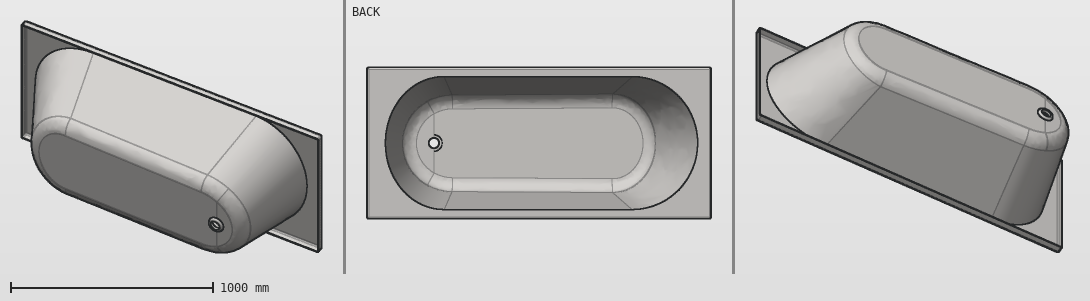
import cadquery as cq

RIM_LENGTH = 1700.0
RIM_WIDTH = 750.0
RIM_DEPTH = 40.0
RIM_ROUND = 10.0
TOTAL_DEPTH = 488.0
WALL = 5.0

MOUTH_LEFT_END = -789.0
MOUTH_LEFT_CENTRE = -460.0
MOUTH_RIGHT_CENTRE = 470.0
MOUTH_RIGHT_END = 764.0
MOUTH_HALF_WIDTH = 333.5

BASE_LEFT_END = -543.0
BASE_LEFT_CENTRE = -342.0
BASE_RIGHT_CENTRE = 425.0
BASE_RIGHT_END = 668.0
BASE_HALF_WIDTH = 230.0
BASE_DEPTH = 475.0
BOTTOM_FILLET = 75.0

FLOOR_FALL = 0.0247

DRAIN_X = 519.0
DRAIN_HOLE_DIAMETER = 50.0
DRAIN_BOSS_DIAMETER = 82.0
DRAIN_BOSS_ROUND = 10.0


def capsule(depth, left_end, left_centre, right_centre, right_end, half_width):
    """Closed outline of two half-ellipses and two straight sides, parallel to the rim."""
    left_radius = left_centre - left_end
    right_radius = right_end - right_centre

    def arc(centre, x_radius, first_angle, last_angle):
        along_x = x_radius >= half_width
        turn = 0 if along_x else 90
        return cq.Edge.makeEllipse(
            max(x_radius, half_width),
            min(x_radius, half_width),
            pnt=cq.Vector(centre, -depth, 0),
            dir=cq.Vector(0, -1, 0),
            xdir=cq.Vector(1, 0, 0) if along_x else cq.Vector(0, 0, 1),
            angle1=first_angle - turn,
            angle2=last_angle - turn,
        )

    def side(z, first_x, last_x):
        return cq.Edge.makeLine(cq.Vector(first_x, -depth, z), cq.Vector(last_x, -depth, z))

    return cq.Wire.assembleEdges([
        arc(right_centre, right_radius, -90, 90),
        side(half_width, right_centre, left_centre),
        arc(left_centre, left_radius, 90, 270),
        side(-half_width, left_centre, right_centre),
    ])


def basin(inset):
    """Solid basin shape; an inset of zero gives the outside, WALL gives the hollow."""
    mouth = capsule(
        WALL - inset,
        MOUTH_LEFT_END + inset,
        MOUTH_LEFT_CENTRE,
        MOUTH_RIGHT_CENTRE,
        MOUTH_RIGHT_END - inset,
        MOUTH_HALF_WIDTH - inset,
    )
    base = capsule(
        BASE_DEPTH,
        BASE_LEFT_END + inset,
        BASE_LEFT_CENTRE,
        BASE_RIGHT_CENTRE,
        BASE_RIGHT_END - inset,
        BASE_HALF_WIDTH - inset,
    )
    tapered = cq.Workplane(cq.Solid.makeLoft([mouth, base], True))

    floor_depth = BASE_DEPTH - inset
    half_length = RIM_LENGTH / 2
    left_floor_depth = floor_depth - FLOOR_FALL * (DRAIN_X + half_length)
    above_floor = (
        cq.Workplane("XY")
        .moveTo(-half_length, 0)
        .lineTo(-half_length, -left_floor_depth)
        .lineTo(DRAIN_X, -floor_depth)
        .lineTo(half_length, -floor_depth)
        .lineTo(half_length, 0)
        .close()
        .extrude(RIM_WIDTH / 2, both=True)
    )
    body = tapered.intersect(above_floor)

    bottom_edges = body.edges("not(|Z)").filter(lambda edge: edge.Center().y < -BASE_DEPTH / 2)
    return bottom_edges.fillet(BOTTOM_FILLET - inset)


def rim(inset):
    """Rim block with rounded corners and front edge; an inset of WALL gives its hollow."""
    block = (
        cq.Workplane("XZ", origin=(0, -inset, 0))
        .rect(RIM_LENGTH - 2 * inset, RIM_WIDTH - 2 * inset)
        .extrude(RIM_DEPTH - inset)
    )
    round_radius = RIM_ROUND - inset
    return block.edges("|Y").fillet(round_radius).faces(">Y").edges().fillet(round_radius)


def drain_boss():
    """Round boss under the drain, reaching from inside the floor to the lowest point."""
    return (
        cq.Workplane("XZ", origin=(DRAIN_X, WALL - BASE_DEPTH, 0))
        .circle(DRAIN_BOSS_DIAMETER / 2)
        .extrude(TOTAL_DEPTH - BASE_DEPTH + WALL)
        .faces("<Y")
        .edges()
        .fillet(DRAIN_BOSS_ROUND)
    )


def drain_hole():
    """Straight bore through the floor and the boss."""
    return (
        cq.Workplane("XZ", origin=(DRAIN_X, 0, 0))
        .circle(DRAIN_HOLE_DIAMETER / 2)
        .extrude(TOTAL_DEPTH)
    )


tray = rim(0).cut(rim(WALL))
result = tray.union(basin(0)).cut(basin(WALL)).union(drain_boss()).cut(drain_hole())